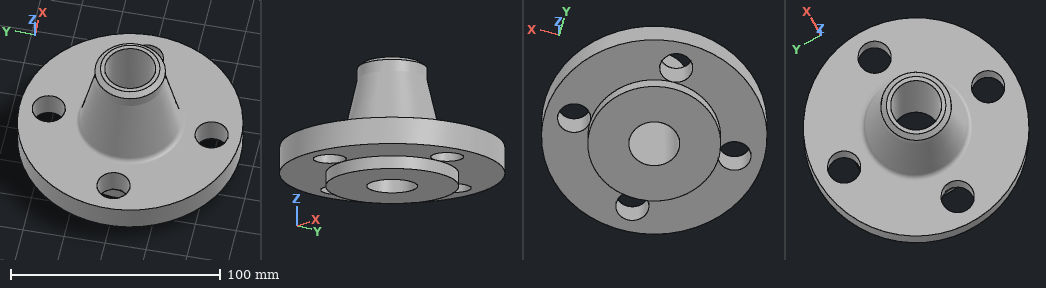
import cadquery as cq
import math

flange_diameter = 107.9
flange_thickness = 13.1
raised_face_diameter = 63.6
raised_face_height = 6.3

overall_height = 60.2
hub_base_diameter = 49.2
hub_fillet_radius = 2.9
neck_diameter = 33.7
neck_length = 7.8
bevel_height = 2.0
bevel_top_diameter = 28.4
bore_diameter = 24.3

bolt_hole_count = 4
bolt_hole_diameter = 15.8
bolt_circle_diameter = 79.4

flange_top = raised_face_height + flange_thickness
taper_top = overall_height - neck_length
bevel_bottom = overall_height - bevel_height


def make_raised_face():
    return cq.Workplane("XY").circle(raised_face_diameter / 2).extrude(raised_face_height)


def make_flange():
    return (
        cq.Workplane("XY")
        .workplane(offset=raised_face_height)
        .circle(flange_diameter / 2)
        .extrude(flange_thickness)
    )


def make_hub():
    """Revolve the hub: concave fillet at the flange, taper, straight neck and weld bevel."""
    base_radius = hub_base_diameter / 2
    neck_radius = neck_diameter / 2
    taper_angle = math.atan2(base_radius - neck_radius, taper_top - flange_top)

    sweep = math.pi / 2 - taper_angle
    tangent_length = hub_fillet_radius * math.tan(sweep / 2)
    centre_x = base_radius + tangent_length
    centre_z = flange_top + hub_fillet_radius

    def fillet_point(angle):
        """Point on the fillet, at an angle above straight down towards the hub axis."""
        return (
            centre_x - hub_fillet_radius * math.sin(angle),
            centre_z - hub_fillet_radius * math.cos(angle),
        )

    return (
        cq.Workplane("XZ")
        .moveTo(0, raised_face_height)
        .lineTo(centre_x, raised_face_height)
        .lineTo(centre_x, flange_top)
        .threePointArc(fillet_point(sweep / 2), fillet_point(sweep))
        .lineTo(neck_radius, taper_top)
        .lineTo(neck_radius, bevel_bottom)
        .lineTo(bevel_top_diameter / 2, overall_height)
        .lineTo(0, overall_height)
        .close()
        .revolve(360, (0, 0), (0, 1))
    )


def make_bore():
    return cq.Workplane("XY").circle(bore_diameter / 2).extrude(overall_height)


def make_bolt_holes():
    return (
        cq.Workplane("XY")
        .workplane(offset=raised_face_height)
        .polarArray(bolt_circle_diameter / 2, 0, 360, bolt_hole_count)
        .circle(bolt_hole_diameter / 2)
        .extrude(flange_thickness)
    )


body = make_raised_face().union(make_flange()).union(make_hub())
result = body.cut(make_bore()).cut(make_bolt_holes())